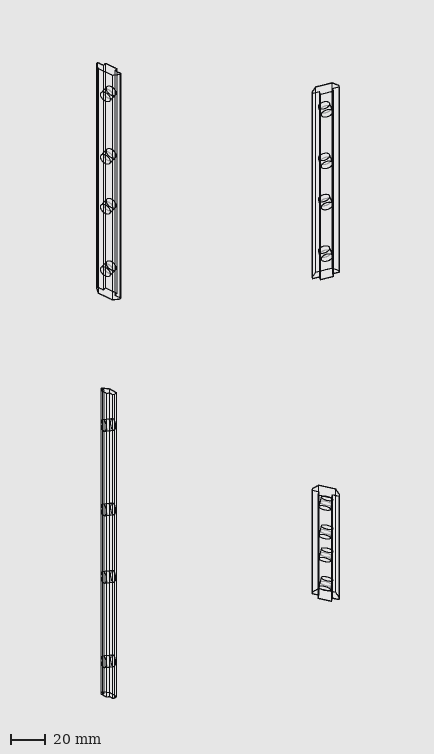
import cadquery as cq

length = 180.0
width = 16.0
thickness = 6.0

front_width = 9.9
rib_width = 8.0
rib_height = 2.0
side_height = 1.0

hole_diameter = 6.8
inner_hole_offset = 20.0
outer_hole_offset = 70.0

front_y = -thickness / 2
rear_y = thickness / 2
shoulder_y = rear_y - rib_height
flank_y = shoulder_y - side_height


def make_bar():
    """Extrude the T-slot profile along Z, centred on the origin."""
    right_half = [
        (front_width / 2, front_y),
        (width / 2, flank_y),
        (width / 2, shoulder_y),
        (rib_width / 2, shoulder_y),
        (rib_width / 2, rear_y),
    ]
    left_half = [(-x, y) for x, y in reversed(right_half)]
    profile = cq.Workplane("XY").polyline(right_half + left_half).close()
    return profile.extrude(length / 2, both=True)


def make_holes():
    """Cylinders running through the thickness along Y."""
    positions = [
        (0, side * offset)
        for offset in (inner_hole_offset, outer_hole_offset)
        for side in (-1, 1)
    ]
    holes = cq.Workplane("XZ").pushPoints(positions).circle(hole_diameter / 2)
    return holes.extrude(thickness, both=True)


result = make_bar().cut(make_holes())